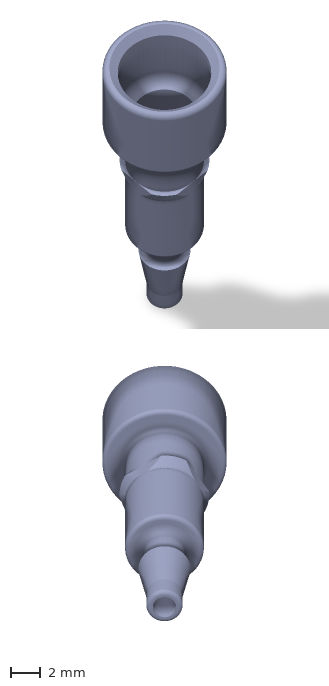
import cadquery as cq

TOTAL_HEIGHT = 25.4
HEAD_BOTTOM = 19.08
FLANGE_TOP = 15.11
FLANGE_BOTTOM = 14.05
BODY_BOTTOM = 7.65
BARB_TOP = 5.13
BARB_BOTTOM = 1.6

HEAD_RADIUS = 8.35 / 2
BODY_RADIUS = 5.3 / 2
FLANGE_TOP_RADIUS = 3.02
FLANGE_BOTTOM_RADIUS = 2.67
NECK_TOP_RADIUS = 1.47
TIP_RADIUS = 1.22
BARB_RADIUS = 1.75

EDGE_FILLET = 0.3
NECK_FILLET = 0.6
RIM_FILLET = 0.38

RIM_RADIUS = 3.7
SOCKET_CHAMFER_DEPTH = 0.53
SOCKET_RADIUS = 3.15
SOCKET_FLOOR = 20.07
SOCKET_FILLET = 0.7
TAPER_TOP_RADIUS = 2.2
TAPER_BOTTOM_RADIUS = 1.27
TAPER_BOTTOM = 8.64
THROUGH_RADIUS = 0.8
CONE_DEPTH = 0.28


def revolve_profile(points):
    """Revolve a closed (radius, height) outline about the Z axis."""
    return cq.Workplane("XZ").polyline(points).close().revolve(360, (0, 0), (0, 1))


def fillet_circle(solid, radius, height, fillet_radius):
    """Round the one circular edge about the Z axis with this radius and height."""
    tolerance = 0.003
    circle = solid.edges("%CIRCLE").filter(
        lambda edge: abs(edge.radius() - radius) < tolerance
        and abs(edge.startPoint().z - height) < tolerance
    )
    return circle.fillet(fillet_radius)


def make_outer_body():
    body = revolve_profile([
        (0, 0),
        (TIP_RADIUS, 0),
        (TIP_RADIUS, BARB_BOTTOM),
        (BARB_RADIUS, BARB_TOP),
        (TIP_RADIUS, BARB_TOP),
        (NECK_TOP_RADIUS, BODY_BOTTOM),
        (BODY_RADIUS, BODY_BOTTOM),
        (BODY_RADIUS, HEAD_BOTTOM),
        (HEAD_RADIUS, HEAD_BOTTOM),
        (HEAD_RADIUS, TOTAL_HEIGHT),
        (0, TOTAL_HEIGHT),
    ])
    for radius, height, fillet_radius in (
        (TIP_RADIUS, 0, EDGE_FILLET),
        (TIP_RADIUS, BARB_TOP, EDGE_FILLET),
        (NECK_TOP_RADIUS, BODY_BOTTOM, NECK_FILLET),
        (BODY_RADIUS, BODY_BOTTOM, EDGE_FILLET),
        (BODY_RADIUS, HEAD_BOTTOM, EDGE_FILLET),
        (HEAD_RADIUS, HEAD_BOTTOM, EDGE_FILLET),
        (HEAD_RADIUS, TOTAL_HEIGHT, RIM_FILLET),
    ):
        body = fillet_circle(body, radius, height, fillet_radius)
    return body


def make_flange():
    """Tapered collar trimmed by four flats that touch the body."""
    cone = revolve_profile([
        (0, FLANGE_BOTTOM),
        (FLANGE_BOTTOM_RADIUS, FLANGE_BOTTOM),
        (FLANGE_TOP_RADIUS, FLANGE_TOP),
        (0, FLANGE_TOP),
    ])
    across_flats = 2 * BODY_RADIUS
    square = cq.Workplane("XY").box(across_flats, across_flats, TOTAL_HEIGHT, centered=(True, True, False))
    return cone.intersect(square)


def make_bore():
    """Rounded socket, long taper, shallow cone and through hole as one cutter."""
    cone_bottom = TAPER_BOTTOM - CONE_DEPTH
    cutter = revolve_profile([
        (0, 0),
        (THROUGH_RADIUS, 0),
        (THROUGH_RADIUS, cone_bottom),
        (TAPER_BOTTOM_RADIUS, TAPER_BOTTOM),
        (TAPER_TOP_RADIUS, SOCKET_FLOOR),
        (SOCKET_RADIUS, SOCKET_FLOOR),
        (SOCKET_RADIUS, TOTAL_HEIGHT - SOCKET_CHAMFER_DEPTH),
        (RIM_RADIUS, TOTAL_HEIGHT),
        (0, TOTAL_HEIGHT),
    ])
    return fillet_circle(cutter, SOCKET_RADIUS, SOCKET_FLOOR, SOCKET_FILLET)


result = make_outer_body().union(make_flange()).cut(make_bore())